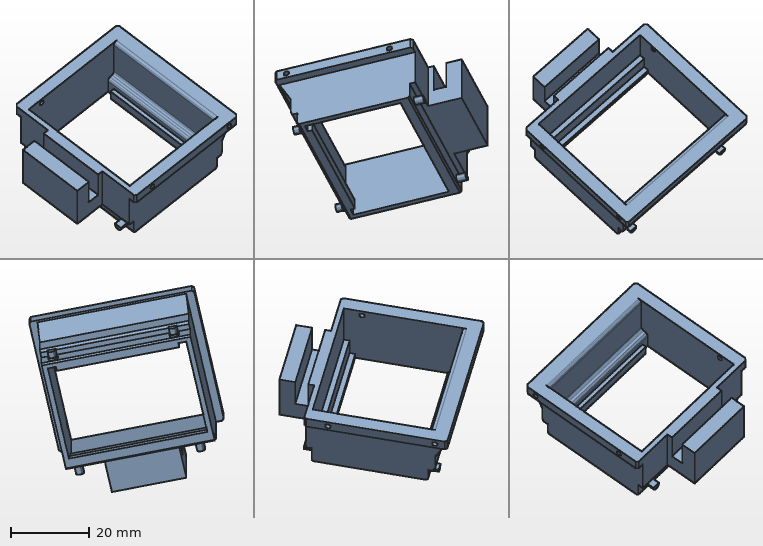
import cadquery as cq
import math


rim_width = 43.2
rim_length = 37.55
rim_height = 2.95
rim_corner = 0.55

body_width = 38.95
height = 17.95
bottom_chamfer = 0.45
front_step_y = 1.5
front_step_z = -13.25
slope_foot = (33.95, -8.75)
back_heel_z = -13.05
back_step = (33.5, -14.1)
back_foot_y = 32.1

opening_width = 36.25
front_wall = 1.5
ledge_depth = 1.5
upper_ledge_z = front_step_z + ledge_depth
lower_ledge_z = -height + ledge_depth
opening_back_y = 33.62
back_radius = 1.0
back_bend_angle = math.radians(75)
back_bend_z = -11.5
back_bend_run = 0.7

lug_width = 19.5
lug_length = 46.7 - rim_length
slot_depth = 8.15
slot_front_y = -4.95
slot_back_y = -1.55

strip_width = 32.15
strip_thickness = 1.15
strip_height = 2.9

pin_centers_x = (-15.35, 16.35)
pin_width = 2.15
pin_flat_rise = 0.37
front_pin_length = 2.5
front_pin_z = -15.8
back_pin_length = 2.35
back_pin_z = -15.92
collar_diameter = 2.5
collar_thickness = 0.6
side_hole_diameter = 1.4
side_hole_z = -1.55
front_hole_y = 6.25
back_hole_y = 34.32
back_hole_depth = (rim_width - opening_width) / 2

overlap = 0.45


def centered_profile(width):
    """YZ workplane at the left end of a profile centred on X = 0."""
    return cq.Workplane("YZ", origin=(-width / 2, 0, 0))


def box(width, y_range, z_range):
    """Box centred on X = 0 between the given Y and Z limits."""
    depth = y_range[1] - y_range[0]
    rise = z_range[1] - z_range[0]
    return (
        cq.Workplane("XY", origin=(0, y_range[0], z_range[0]))
        .box(width, depth, rise, centered=(True, False, False))
    )


def make_rim():
    rim = box(rim_width, (0, rim_length), (-rim_height, 0))
    return rim.edges("|Z").chamfer(rim_corner)


def make_body():
    outline = [
        (0, 0),
        (0, front_step_z),
        (front_step_y, front_step_z),
        (front_step_y, -height + bottom_chamfer),
        (front_step_y + bottom_chamfer, -height),
        (back_foot_y - bottom_chamfer, -height),
        (back_foot_y, -height + bottom_chamfer),
        (back_foot_y, back_step[1]),
        back_step,
        (slope_foot[0], back_heel_z),
        slope_foot,
        (rim_length - rim_corner, -rim_height),
        (rim_length - rim_corner, 0),
    ]
    return centered_profile(body_width).polyline(outline).close().extrude(body_width)


def bend_offset(angle):
    """Y and Z travel along a back-wall arc that turns by the given angle."""
    return back_radius * (1 - math.cos(angle)), back_radius * math.sin(angle)


bend_y, bend_z = bend_offset(back_bend_angle)
half_y, half_z = bend_offset(back_bend_angle / 2)
upper_back_y = opening_back_y - back_radius
slope_top = (upper_back_y - bend_y, back_bend_z - bend_z)
slope_bottom = (
    slope_top[0] - back_bend_run,
    slope_top[1] - back_bend_run / math.tan(back_bend_angle),
)
lower_back_y = slope_bottom[0] - bend_y
lower_back_z = slope_bottom[1] - bend_z


def make_opening():
    lip_y = front_wall + ledge_depth
    lip_end_y = lip_y + ledge_depth
    round_mid = back_radius * (1 - math.sqrt(0.5))
    return (
        centered_profile(opening_width)
        .moveTo(front_wall, 0)
        .lineTo(front_wall, upper_ledge_z)
        .lineTo(lip_y, upper_ledge_z)
        .lineTo(lip_y, lower_ledge_z)
        .lineTo(lip_end_y, lower_ledge_z)
        .lineTo(lip_end_y, -height)
        .lineTo(lower_back_y, -height)
        .lineTo(lower_back_y, lower_back_z)
        .threePointArc((lower_back_y + half_y, lower_back_z + half_z), slope_bottom)
        .lineTo(*slope_top)
        .threePointArc((upper_back_y - half_y, back_bend_z - half_z), (upper_back_y, back_bend_z))
        .lineTo(upper_back_y, -back_radius)
        .threePointArc((upper_back_y + round_mid, -round_mid), (opening_back_y, 0))
        .close()
        .extrude(opening_width)
    )


def make_lug():
    lug = box(lug_width, (-lug_length, overlap), (front_step_z, 0))
    slot = box(lug_width, (slot_front_y, slot_back_y), (-slot_depth, 0))
    return lug.cut(slot)


def make_strip():
    y_range = (lower_back_y - strip_thickness, lower_back_y + overlap)
    return box(strip_width, y_range, (-height, -height + strip_height))


def make_pin(x, z, start_y, end_y):
    """Pin along Y with a flat top and a half-round underside."""
    radius = pin_width / 2
    return (
        cq.Workplane("XZ", origin=(x, end_y, z))
        .moveTo(-radius, pin_flat_rise)
        .lineTo(-radius, 0)
        .threePointArc((0, -radius), (radius, 0))
        .lineTo(radius, pin_flat_rise)
        .close()
        .extrude(end_y - start_y)
    )


def make_collar(x):
    return (
        cq.Workplane("XZ", origin=(x, back_foot_y + collar_thickness, back_pin_z))
        .circle(collar_diameter / 2)
        .extrude(collar_thickness + overlap)
    )


def make_side_hole(x, y, length):
    return (
        cq.Workplane("YZ", origin=(x, y, side_hole_z))
        .circle(side_hole_diameter / 2)
        .extrude(length)
    )


result = make_rim().union(make_body()).cut(make_opening())
result = result.union(make_lug()).union(make_strip())

for pin_x in pin_centers_x:
    front_tip_y = front_step_y - front_pin_length
    back_tip_y = back_foot_y + back_pin_length
    result = result.union(make_pin(pin_x, front_pin_z, front_tip_y, front_step_y + overlap))
    result = result.union(make_pin(pin_x, back_pin_z, back_foot_y - overlap, back_tip_y))
    result = result.union(make_collar(pin_x))

result = result.cut(make_side_hole(-rim_width / 2, front_hole_y, rim_width))
result = result.cut(make_side_hole(-rim_width / 2, back_hole_y, back_hole_depth))
result = result.cut(make_side_hole(rim_width / 2, back_hole_y, -back_hole_depth))